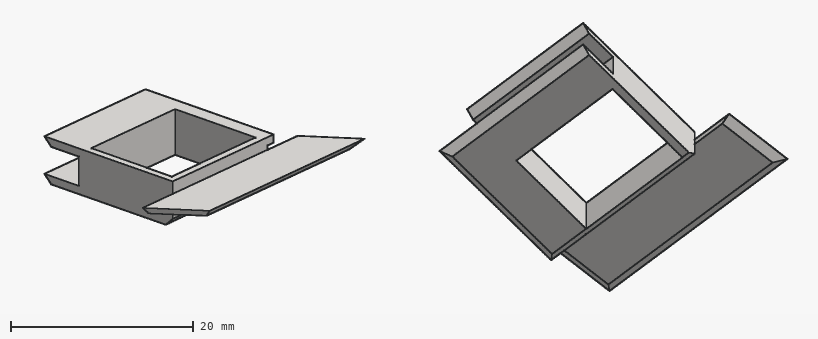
import cadquery as cq

body_length = 18.65
body_height = 5.5
sheet = 1.0
bevel = sheet
slot_depth = 5.0
lower_lip_width = 20.9
lower_lip_overhang = 5.0
upper_lip_overhang = 1.0
core_width = lower_lip_width - lower_lip_overhang
upper_lip_width = core_width + upper_lip_overhang
upper_lip_bottom = body_height - sheet

wall = 0.95
window_x_start = 6.0
window_length = body_length - wall - window_x_start
window_width = core_width - 2 * wall

flap_tip_x = 28.39
flap_tip_z = 6.48
flap_root_z = 4.0
flap_y_start = -5.0
flap_y_end = lower_lip_width
flap_slope = (flap_tip_z - flap_root_z) / (flap_tip_x - body_length)


def extrude_along_y(outline, y_start, y_end):
    """Solid with an XZ outline, running from y_start to y_end."""
    plane = cq.Workplane("XZ", origin=(0, y_start, 0))
    return plane.polyline(outline).close().extrude(y_start - y_end)


def make_lower_lip():
    """Plate whose underside is bevelled along the -X, +X and +Y edges."""
    outline = [
        (0, sheet),
        (bevel, 0),
        (body_length - bevel, 0),
        (body_length, sheet),
    ]
    section = [
        (0, 0),
        (lower_lip_width - bevel, 0),
        (lower_lip_width, sheet),
        (0, sheet),
    ]
    lip = extrude_along_y(outline, 0, lower_lip_width)
    return lip.intersect(cq.Workplane("YZ").polyline(section).close().extrude(body_length))


def make_core():
    """Block joining the lips, bevelled along its lower +X edge."""
    core = cq.Workplane("XY").box(body_length - slot_depth, core_width, body_height, centered=False)
    return core.translate((slot_depth, 0, 0)).edges(">X and <Z").chamfer(bevel)


def make_upper_lip():
    """Plate whose underside is bevelled along the -X edge only."""
    outline = [
        (0, body_height),
        (bevel, upper_lip_bottom),
        (body_length, upper_lip_bottom),
        (body_length, body_height),
    ]
    return extrude_along_y(outline, 0, upper_lip_width)


def make_window():
    """Opening cut through the full body height."""
    window = cq.Workplane("XY").box(window_length, window_width, body_height, centered=False)
    return window.translate((window_x_start, wall, 0))


def make_flap_end_wedge(end_y, inward):
    """Cutter for the bevel under one flap end; inward is the Y sign towards the flap's middle."""
    wedge_leg = 2 * bevel
    section = [
        (end_y, flap_root_z),
        (end_y + wedge_leg * inward, flap_root_z - wedge_leg),
        (end_y, flap_root_z - wedge_leg),
    ]
    slope_line = cq.Workplane("XZ").moveTo(body_length, flap_root_z).lineTo(flap_tip_x, flap_tip_z)
    profile = cq.Workplane("YZ", origin=(body_length, 0, 0)).polyline(section).close()
    return profile.sweep(slope_line)


def make_flap():
    """Sloping plate whose underside is bevelled along the tip and both ends."""
    tip_bevel = sheet / (1 - flap_slope)
    outline = [
        (body_length, flap_root_z),
        (flap_tip_x, flap_tip_z),
        (flap_tip_x - tip_bevel, flap_tip_z - tip_bevel),
        (body_length, flap_root_z - sheet),
    ]
    flap = extrude_along_y(outline, flap_y_start, flap_y_end)
    for end_y, inward in ((flap_y_start, 1), (flap_y_end, -1)):
        flap = flap.cut(make_flap_end_wedge(end_y, inward))
    return flap


body = make_lower_lip().union(make_core()).union(make_upper_lip()).cut(make_window())
result = body.union(make_flap())